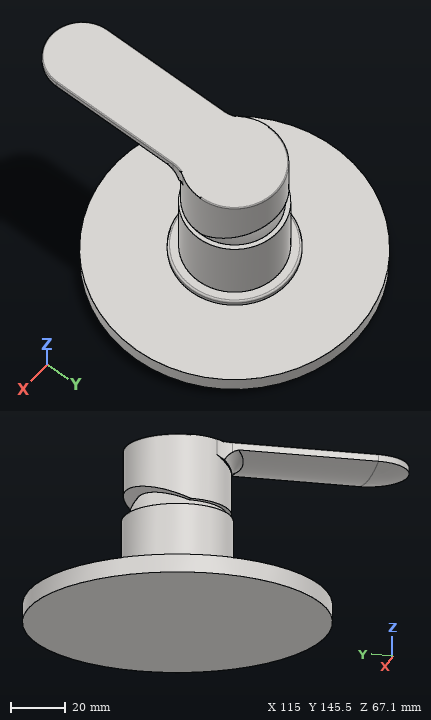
import cadquery as cq
import math

plate_radius = 57.5
plate_thickness = 7.0

collar_radius = 25.0
collar_top = 9.3
collar_edge = 0.9

sleeve_radius = 20.8
sleeve_top = 39.5

handle_top = 67.1
head_radius = 20.1
head_bottom = 41.9
head_back_bottom = 49.5
ball_radius = 19.2
ball_center_z = 35.8
lever_half_width = 15.0
lever_reach = 88.0
lever_edge_thickness = 2.9
lever_middle_thickness = 5.1
blend_radius = 12.0
top_edge_round = 0.5

flare_front_z = 57.2
flare_slope = 22.5
flare_height = 6.3
flare_spread = 2.2
flare_sag = 0.7

tip_center_y = lever_half_width - lever_reach
lever_edge_z = handle_top - lever_edge_thickness
lever_middle_z = handle_top - lever_middle_thickness


def make_plate():
    return cq.Workplane("XY").circle(plate_radius).extrude(plate_thickness)


def make_collar():
    collar = (
        cq.Workplane("XY", origin=(0, 0, plate_thickness))
        .circle(collar_radius)
        .extrude(collar_top - plate_thickness)
    )
    return collar.faces(">Z").edges().fillet(collar_edge)


def make_sleeve():
    return (
        cq.Workplane("XY", origin=(0, 0, collar_top))
        .circle(sleeve_radius)
        .extrude(sleeve_top - collar_top)
    )


def handle_slab(bottom_z):
    """Plan shape of the handle: round head, concave blends and round-ended lever."""
    blend_x = lever_half_width + blend_radius
    blend_y = -math.sqrt((head_radius + blend_radius) ** 2 - blend_x ** 2)
    on_head = head_radius / (head_radius + blend_radius)
    touch_x = blend_x * on_head
    touch_y = blend_y * on_head
    touch_angle = math.atan2(touch_y - blend_y, touch_x - blend_x)
    middle_angle = (touch_angle + math.pi) / 2
    middle_x = blend_x + blend_radius * math.cos(middle_angle)
    middle_y = blend_y + blend_radius * math.sin(middle_angle)
    return (
        cq.Workplane("XY", origin=(0, 0, bottom_z))
        .moveTo(touch_x, touch_y)
        .threePointArc((0, head_radius), (-touch_x, touch_y))
        .threePointArc((-middle_x, middle_y), (-lever_half_width, blend_y))
        .lineTo(-lever_half_width, tip_center_y)
        .threePointArc((0, -lever_reach), (lever_half_width, tip_center_y))
        .lineTo(lever_half_width, blend_y)
        .threePointArc((middle_x, middle_y), (touch_x, touch_y))
        .close()
        .extrude(handle_top - bottom_z)
    )


def lever_belly():
    """Crowned underside of the lever, running out to nothing around the tip."""
    bulge = lever_middle_thickness - lever_edge_thickness
    crown_radius = (lever_half_width ** 2 + bulge ** 2) / (2 * bulge)
    crown_center_z = lever_middle_z + crown_radius
    straight = (
        cq.Workplane("XZ")
        .moveTo(-lever_half_width, lever_edge_z)
        .threePointArc((0, lever_middle_z), (lever_half_width, lever_edge_z))
        .close()
        .extrude(-tip_center_y)
    )
    tip = (
        cq.Workplane("XY", origin=(0, tip_center_y, crown_center_z))
        .sphere(crown_radius)
        .intersect(
            cq.Workplane("XY", origin=(0, tip_center_y, lever_middle_z))
            .circle(lever_half_width)
            .extrude(bulge)
        )
    )
    return straight.union(tip)


def lever_flare():
    """Concave flare about a forward-tilted axis, trimmed to the handle's plan shape."""
    tilt = math.radians(flare_slope)
    base_radius = head_radius / math.cos(tilt)
    center_z = flare_front_z + head_radius * math.tan(tilt)
    rim_radius = base_radius + flare_spread
    tilted_plane = cq.Plane(
        origin=(0, 0, center_z),
        xDir=(0, -math.cos(tilt), -math.sin(tilt)),
        normal=(-1, 0, 0),
    )
    flare = (
        cq.Workplane(tilted_plane)
        .lineTo(base_radius, 0)
        .threePointArc(
            (base_radius + flare_spread / 2 - flare_sag, flare_height / 2),
            (rim_radius, flare_height),
        )
        .lineTo(0, flare_height)
        .close()
        .revolve(360, (0, 0), (0, 1))
    )
    front_half = cq.Workplane("XY").box(
        2 * head_radius, lever_reach, handle_top, centered=(True, False, False)
    ).translate((0, -lever_reach, 0))
    return flare.intersect(handle_slab(flare_front_z)).intersect(front_half)


def handle_head():
    """Round head whose rear underside slopes up to clear the sleeve."""
    head = (
        cq.Workplane("XY", origin=(0, 0, head_bottom))
        .circle(head_radius)
        .extrude(lever_edge_z - head_bottom)
    )
    clearance = (
        cq.Workplane("YZ")
        .moveTo(0, head_bottom)
        .lineTo(head_radius, head_back_bottom)
        .lineTo(head_radius, head_bottom)
        .close()
        .extrude(head_radius, both=True)
    )
    return head.cut(clearance)


def ball_joint():
    """Ball under the head, flat where it rests on the sleeve."""
    ball = cq.Workplane("XY", origin=(0, 0, ball_center_z)).sphere(ball_radius)
    above_sleeve = (
        cq.Workplane("XY", origin=(0, 0, sleeve_top))
        .circle(ball_radius)
        .extrude(ball_radius)
    )
    return ball.intersect(above_sleeve)


def make_handle():
    slab = handle_slab(lever_edge_z).faces(">Z").edges().fillet(top_edge_round)
    handle = handle_head().union(ball_joint()).union(slab)
    return handle.union(lever_belly()).union(lever_flare())


plate = make_plate()
collar = make_collar()
sleeve = make_sleeve()
handle = make_handle()

result = cq.Compound.makeCompound([plate.val(), collar.val(), sleeve.val(), handle.solids().val()])